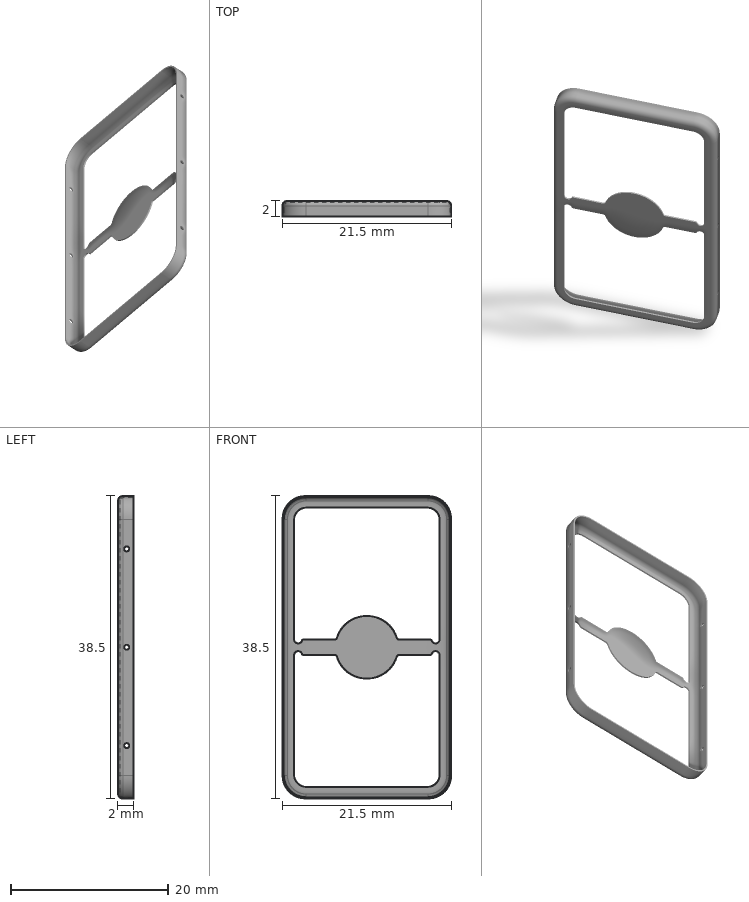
import cadquery as cq
import math

width = 21.5
depth = 2.0
height = 38.5
corner_radius = 2.95
wall = 0.2
back_edge_radius = 0.6

flange_width = 1.5
window_corner_radius = 1.55

disc_radius = 4.0
bar_height = 2.0
notch_radius = 0.5
shoulder_fillet = 0.25
disc_fillet = 0.25

hole_diameter = 0.6
hole_spacing = 12.5
hole_count = 3
hole_from_front = 0.9

front_y = -depth / 2
back_y = depth / 2
floor_y = back_y - wall
window_width = width - 2 * flange_width
window_height = height - 2 * flange_width

pick_margin = 0.05


def rounded_block(size_x, size_z, radius, start_y, end_y):
    """Block extruded along Y with rounded corners in the XZ plane."""
    return (
        cq.Workplane("XZ", origin=(0, end_y, 0))
        .rect(size_x, size_z)
        .extrude(end_y - start_y)
        .edges("|Y")
        .fillet(radius)
    )


def floor_sketch():
    """Workplane on the back face; positive extrusion runs through the floor."""
    return cq.Workplane("XZ", origin=(0, back_y, 0))


def make_shell():
    """Thin-walled tray with concentric rounds along its back edge."""
    outer = rounded_block(width, height, corner_radius, front_y, back_y)
    outer = outer.faces(">Y").edges().fillet(back_edge_radius)
    cavity = rounded_block(
        width - 2 * wall, height - 2 * wall, corner_radius - wall, front_y, floor_y
    )
    cavity = cavity.faces(">Y").edges().fillet(back_edge_radius - wall)
    return outer.cut(cavity)


def round_corners(body, x, z, radius):
    """Fillet the four mirrored edges that run along Y at (+-x, +-z)."""
    corners = None
    for side_x in (-x, x):
        for side_z in (-z, z):
            corner = cq.selectors.BoxSelector(
                (side_x - pick_margin, front_y, side_z - pick_margin),
                (side_x + pick_margin, back_y, side_z + pick_margin),
            )
            corners = corner if corners is None else corners + corner
    return body.edges(corners).fillet(radius)


def make_window():
    """Window opening, divided and shaped by the crossbar and disc."""
    opening = rounded_block(
        window_width, window_height, window_corner_radius, floor_y, back_y
    )
    disc = floor_sketch().circle(disc_radius).extrude(wall)
    bar = floor_sketch().rect(window_width, bar_height).extrude(wall)
    notch_x = window_width / 2 - notch_radius
    notches = (
        floor_sketch()
        .rect(2 * notch_x, bar_height, forConstruction=True)
        .vertices()
        .circle(notch_radius)
        .extrude(wall)
    )
    opening = opening.cut(disc.union(bar)).union(notches)

    shoulder_x = notch_x - notch_radius
    disc_corner_x = math.sqrt(disc_radius**2 - (bar_height / 2) ** 2)
    opening = round_corners(opening, shoulder_x, bar_height / 2, shoulder_fillet)
    return round_corners(opening, disc_corner_x, bar_height / 2, disc_fillet)


def make_pin_holes():
    """Row of holes running along X through both side walls."""
    hole_y = front_y + hole_from_front
    return (
        cq.Workplane("YZ", origin=(-width / 2, hole_y, 0))
        .rarray(0.4, hole_spacing, 1, hole_count)
        .circle(hole_diameter / 2)
        .extrude(width)
    )


result = make_shell().cut(make_window()).cut(make_pin_holes())